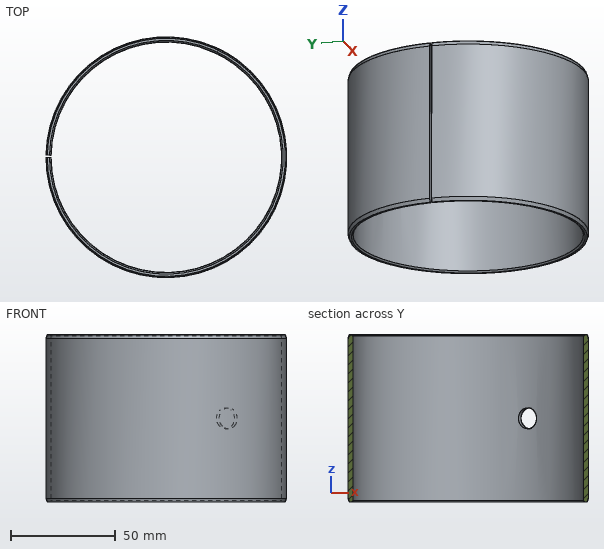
import cadquery as cq
import math

outer_diameter = 115.0
wall = 2.5
length = 80.0

outer_chamfer_length = 1.8
outer_chamfer_angle = 20.0
inner_chamfer = 0.8

joint_angle = 180.0
joint_gap_angle = 1.0

oil_hole_diameter = 10.0
joint_to_oil_hole_angle = 120.0

outer_radius = outer_diameter / 2
inner_radius = outer_radius - wall
half_length = length / 2
outer_chamfer_depth = outer_chamfer_length * math.tan(math.radians(outer_chamfer_angle))


def split_ring():
    """Revolve the chamfered wall section from the joint, stopping short to leave the joint open."""
    inner_end_radius = inner_radius + inner_chamfer
    outer_end_radius = outer_radius - outer_chamfer_depth
    inner_edge_height = half_length - inner_chamfer
    outer_edge_height = half_length - outer_chamfer_length
    section = (
        cq.Workplane("XZ")
        .moveTo(inner_radius, -inner_edge_height)
        .lineTo(inner_radius, inner_edge_height)
        .lineTo(inner_end_radius, half_length)
        .lineTo(outer_end_radius, half_length)
        .lineTo(outer_radius, outer_edge_height)
        .lineTo(outer_radius, -outer_edge_height)
        .lineTo(outer_end_radius, -half_length)
        .lineTo(inner_end_radius, -half_length)
        .close()
    )
    ring_from_plus_x = section.revolve(360 - joint_gap_angle, (0, 0, 0), (0, 1, 0))
    return ring_from_plus_x.rotate((0, 0, 0), (0, 0, 1), joint_angle)


def oil_hole_cutter():
    """Radial cylinder that crosses only one side of the wall."""
    oil_hole_angle = joint_angle - joint_gap_angle - joint_to_oil_hole_angle
    return (
        cq.Workplane("YZ")
        .circle(oil_hole_diameter / 2)
        .extrude(outer_diameter)
        .rotate((0, 0, 0), (0, 0, 1), oil_hole_angle)
    )


result = split_ring().cut(oil_hole_cutter())